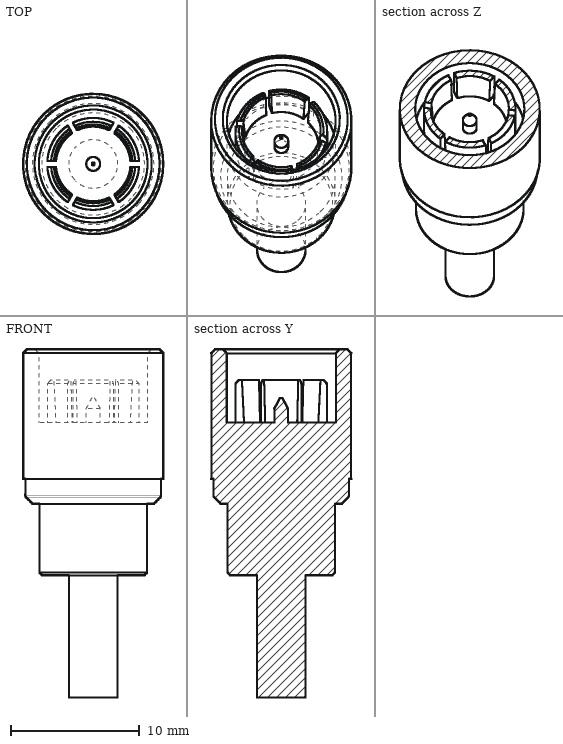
import cadquery as cq

total_height = 27.05
cable_radius = 1.9
sleeve_bottom = 9.5
sleeve_radius = 4.2
sleeve_chamfer = 0.22
collar_bottom = 15.05
collar_bottom_radius = 4.7
collar_radius = 5.27
collar_taper_height = collar_radius - collar_bottom_radius
collar_fillet = 0.22
shell_bottom = 17.0
shell_radius = 5.45
rim_chamfer = 0.3

bore_radius = 4.22
mouth_chamfer = 0.32
floor_height = 21.37
root_overlap = 0.27

finger_tip_height = 24.67
finger_outer_radius = 3.57
finger_inner_radius = 2.9
finger_outer_chamfer = 0.3
finger_inner_draft = 0.15
finger_count = 6
slot_width = 0.45

pin_radius = 0.55
pin_tip_radius = 0.1
pin_tip_height = 23.25
pin_cone_length = 0.8


def revolve_profile(points):
    """Revolve a closed outline of (radius, height) points about Z."""
    outline = cq.Workplane("XZ").polyline(points).close()
    return outline.revolve(360, (0, 0, 0), (0, 1, 0))


def make_body():
    """Stepped outer body with the open socket at the top."""
    body = revolve_profile([
        (0, 0),
        (cable_radius, 0),
        (cable_radius, sleeve_bottom),
        (sleeve_radius - sleeve_chamfer, sleeve_bottom),
        (sleeve_radius, sleeve_bottom + sleeve_chamfer),
        (sleeve_radius, collar_bottom),
        (collar_bottom_radius, collar_bottom),
        (collar_radius, collar_bottom + collar_taper_height),
        (collar_radius, shell_bottom),
        (shell_radius, shell_bottom),
        (shell_radius, total_height - rim_chamfer),
        (shell_radius - rim_chamfer, total_height),
        (bore_radius + mouth_chamfer, total_height),
        (bore_radius, total_height - mouth_chamfer),
        (bore_radius, floor_height),
        (0, floor_height),
    ])
    taper_top = (0, 0, collar_bottom + collar_taper_height)
    taper_edge = body.edges("%CIRCLE").edges(cq.NearestToPointSelector(taper_top))
    return taper_edge.fillet(collar_fillet)


def make_fingers():
    """Tapered ring split into fingers by radial slots down to the socket floor."""
    root_height = floor_height - root_overlap
    ring = revolve_profile([
        (finger_inner_radius, root_height),
        (finger_outer_radius, root_height),
        (finger_outer_radius, finger_tip_height - finger_outer_chamfer),
        (finger_outer_radius - finger_outer_chamfer, finger_tip_height),
        (finger_inner_radius + finger_inner_draft, finger_tip_height),
        (finger_inner_radius, floor_height),
    ])
    slot = (
        cq.Workplane("XY")
        .workplane(offset=root_height)
        .rect(2 * bore_radius, slot_width)
        .extrude(finger_tip_height - root_height)
    )
    for index in range(finger_count // 2):
        angle = index * 360 / finger_count
        ring = ring.cut(slot.rotate((0, 0, 0), (0, 0, 1), angle))
    return ring


def make_pin():
    """Centre pin with a blunt conical tip."""
    root_height = floor_height - root_overlap
    return revolve_profile([
        (0, root_height),
        (pin_radius, root_height),
        (pin_radius, pin_tip_height - pin_cone_length),
        (pin_tip_radius, pin_tip_height),
        (0, pin_tip_height),
    ])


result = make_body().union(make_fingers()).union(make_pin())